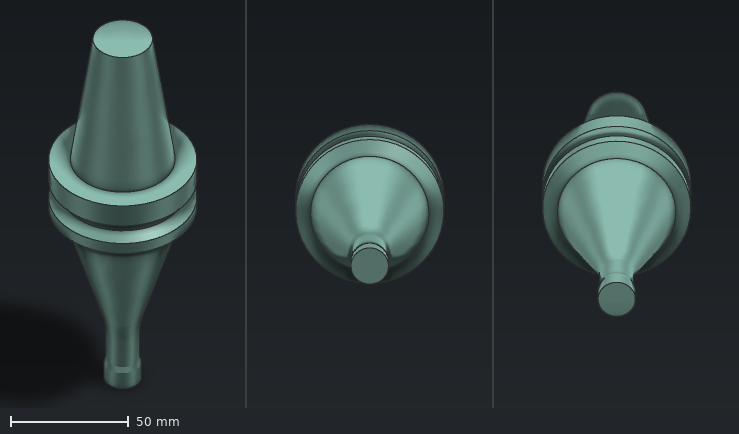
import cadquery as cq
import math


tip_diameter = 16.0
neck_diameter = 14.5
cone_bottom_diameter = 17.0
cone_top_diameter = 50.2
flange_diameter = 63.0
groove_diameter = 53.0
taper_base_diameter = 44.5
taper_end_diameter = 25.4

tip_top = 8.3
neck_bottom = 11.1
neck_top = 25.4
cone_bottom = 34.3
cone_top = 89.5
flange_bottom = 93.3
flange_top = 119.4
taper_base = 120.0
total_height = 185.4

groove_center = 103.6
groove_floor_width = 3.9
flank_angle = 30.0

tip_radius = tip_diameter / 2
neck_radius = neck_diameter / 2
flange_radius = flange_diameter / 2
groove_radius = groove_diameter / 2
taper_base_radius = taper_base_diameter / 2
flank_height = (flange_radius - groove_radius) * math.tan(math.radians(flank_angle))
groove_floor_bottom = groove_center - groove_floor_width / 2
groove_floor_top = groove_center + groove_floor_width / 2

profile = (
    cq.Workplane("XZ")
    .moveTo(0, 0)
    .lineTo(tip_radius, 0)
    .lineTo(tip_radius, tip_top)
    .lineTo(neck_radius, neck_bottom)
    .lineTo(neck_radius, neck_top)
    .tangentArcPoint((cone_bottom_diameter / 2, cone_bottom), relative=False)
    .lineTo(cone_top_diameter / 2, cone_top)
    .lineTo(flange_radius, flange_bottom)
    .lineTo(flange_radius, groove_floor_bottom - flank_height)
    .lineTo(groove_radius, groove_floor_bottom)
    .lineTo(groove_radius, groove_floor_top)
    .lineTo(flange_radius, groove_floor_top + flank_height)
    .lineTo(flange_radius, flange_top)
    .lineTo(taper_base_radius, flange_top)
    .lineTo(taper_base_radius, taper_base)
    .lineTo(taper_end_diameter / 2, total_height)
    .lineTo(0, total_height)
    .close()
)

result = profile.revolve(360, (0, 0, 0), (0, 1, 0))